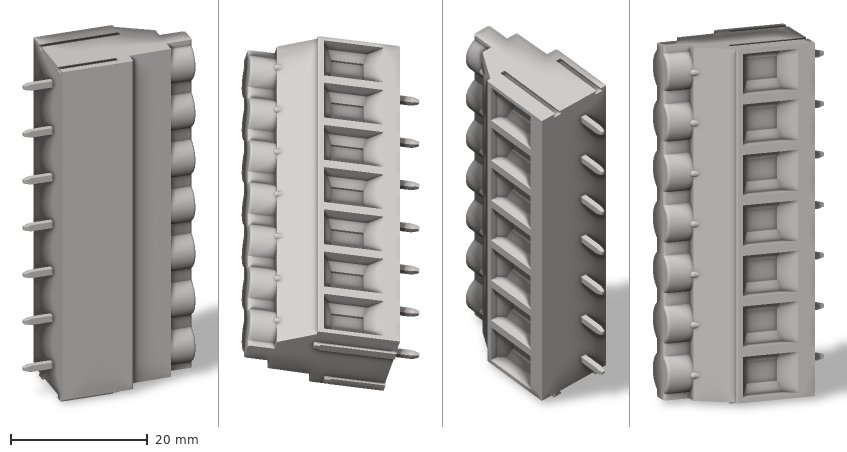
import cadquery as cq


overall_depth = 26.1
overall_height = 53.95

pole_count = 7
pole_pitch = 7.62
stack_height = pole_count * pole_pitch
pole_heights = [(index + 0.5) * pole_pitch for index in range(pole_count)]

housing_width = 12.5
shoulder_y = 12.3
shoulder_round = 0.3
slope_start_x = 0.7
shelf_y = 17.6
shelf_left_x = 3.8
shelf_right_x = 10.47
step_x = 10.64
step_y = 11.06
step_round = 0.35

turret_x = 7.05
turret_radius = 3.23
ridge_width = 3.05
ridge_top_y = 21.6
top_round = 0.4

entry_low_y = 2.52
entry_high_y = 11.34
entry_floor_low_y = 4.93
entry_floor_high_y = 9.78
entry_height = 6.28
entry_floor_height = 3.35
low_wall_taper_depth = 0.2
high_wall_taper_depth = 1.2
end_wall_taper_depth = 2.1
taper_end_depth = 2.6
entry_depth = 3.0

nub_radius = 0.52
nub_x = 3.88
nub_base_y = 16.0

pin_x = 8.0
pin_width = 0.85
pin_height = 1.0
pin_length = overall_depth - ridge_top_y
pin_tip_width = 0.55
pin_tip_height = 0.5
pin_width_taper_length = 0.75
pin_height_taper_length = 1.1
pin_root = 1.0

dovetails = [(3.05, shoulder_y), (11.05, 9.05)]
dovetail_height = overall_height - stack_height
dovetail_neck_width = 0.82
dovetail_head_width = 1.35
dovetail_flare_end = 0.4
rail_lead_in = 0.85


def make_housing():
    """Stepped housing section, extruded over the whole stack."""
    section = (
        cq.Workplane("XY")
        .moveTo(0, 0)
        .lineTo(housing_width, 0)
        .lineTo(housing_width, step_y - step_round)
        .radiusArc((housing_width - step_round, step_y), -step_round)
        .lineTo(step_x, step_y)
        .lineTo(shelf_right_x, shelf_y)
        .lineTo(shelf_left_x, shelf_y)
        .lineTo(slope_start_x, shoulder_y)
        .lineTo(shoulder_round, shoulder_y)
        .radiusArc((0, shoulder_y - shoulder_round), -shoulder_round)
        .close()
    )
    return section.extrude(stack_height)


def make_ridge():
    """Bar along the stack with rounded long top edges."""
    rise = ridge_top_y - shelf_y
    return (
        cq.Workplane("XY")
        .box(ridge_width, rise, stack_height, centered=(True, False, False))
        .faces(">Y").edges("|Z").fillet(top_round)
        .translate((turret_x, shelf_y, 0))
    )


def plane_facing_y(x, y, z):
    """Workplane at the given point whose normal is +Y."""
    return cq.Workplane(cq.Plane(origin=(x, y, z), xDir=(1, 0, 0), normal=(0, 1, 0)))


def make_turret(z):
    turret = plane_facing_y(turret_x, shelf_y, z).circle(turret_radius).extrude(ridge_top_y - shelf_y)
    return turret.faces(">Y").fillet(top_round)


def make_nub(z):
    """Round post along Y with a domed end centred at shelf level."""
    half_section = (
        cq.Workplane("XY")
        .moveTo(0, nub_base_y)
        .lineTo(nub_radius, nub_base_y)
        .lineTo(nub_radius, shelf_y)
        .radiusArc((0, shelf_y + nub_radius), -nub_radius)
        .close()
    )
    nub = half_section.revolve(360, (0, 0), (0, 1))
    return nub.translate((nub_x, 0, z))


def make_wire_entry(z):
    """Tapered pocket: the common volume of its side profile and its end-wall profile."""
    side_profile = (
        cq.Workplane("XY")
        .polyline([
            (0, entry_low_y),
            (low_wall_taper_depth, entry_low_y),
            (taper_end_depth, entry_floor_low_y),
            (entry_depth, entry_floor_low_y),
            (entry_depth, entry_floor_high_y),
            (taper_end_depth, entry_floor_high_y),
            (high_wall_taper_depth, entry_high_y),
            (0, entry_high_y),
        ])
        .close()
        .extrude(entry_height / 2, both=True)
    )
    mouth = entry_height / 2
    floor = entry_floor_height / 2
    end_wall_profile = (
        plane_facing_y(0, 0, 0)
        .polyline([
            (0, -mouth),
            (end_wall_taper_depth, -mouth),
            (taper_end_depth, -floor),
            (entry_depth, -floor),
            (entry_depth, floor),
            (taper_end_depth, floor),
            (end_wall_taper_depth, mouth),
            (0, mouth),
        ])
        .close()
        .extrude(shoulder_y)
    )
    return side_profile.intersect(end_wall_profile).translate((0, 0, z))


def pin_profile(plane, width, tip_width, taper_length, thickness):
    """Flat bar with a tapered tip; the plane's second axis runs along the pin."""
    return (
        cq.Workplane(plane)
        .polyline([
            (-width / 2, pin_root),
            (-width / 2, taper_length - pin_length),
            (-tip_width / 2, -pin_length),
            (tip_width / 2, -pin_length),
            (width / 2, taper_length - pin_length),
            (width / 2, pin_root),
        ])
        .close()
        .extrude(thickness / 2, both=True)
    )


def make_pin(z):
    """Pin tapered in both directions, rooted inside the housing."""
    across_x = pin_profile("XY", pin_width, pin_tip_width, pin_width_taper_length, pin_height)
    across_z = pin_profile("ZY", pin_height, pin_tip_height, pin_height_taper_length, pin_width)
    return across_x.intersect(across_z).translate((pin_x, 0, z))


def make_dovetail(x, z, length, head_length):
    """Neck of full length with a wider head below z, starting at the pin face (Y = 0)."""
    neck = dovetail_neck_width / 2
    head = dovetail_head_width / 2
    neck_bar = plane_facing_y(x, 0, z - dovetail_height / 2)
    neck_bar = neck_bar.rect(dovetail_neck_width, dovetail_height).extrude(length)
    head_bar = (
        plane_facing_y(x, 0, z)
        .polyline([
            (-neck, 0),
            (-head, dovetail_flare_end),
            (-head, dovetail_height),
            (head, dovetail_height),
            (head, dovetail_flare_end),
            (neck, 0),
        ])
        .close()
        .extrude(head_length)
    )
    return neck_bar.union(head_bar)


def build_terminal_block():
    block = make_housing().union(make_ridge())
    for z in pole_heights:
        block = block.union(make_turret(z))
        block = block.union(make_nub(z))
        block = block.union(make_pin(z))
        block = block.cut(make_wire_entry(z))
    for x, length in dovetails:
        block = block.cut(make_dovetail(x, stack_height, length, length))
        block = block.union(make_dovetail(x, 0, length, length - rail_lead_in))
    return block


result = build_terminal_block()